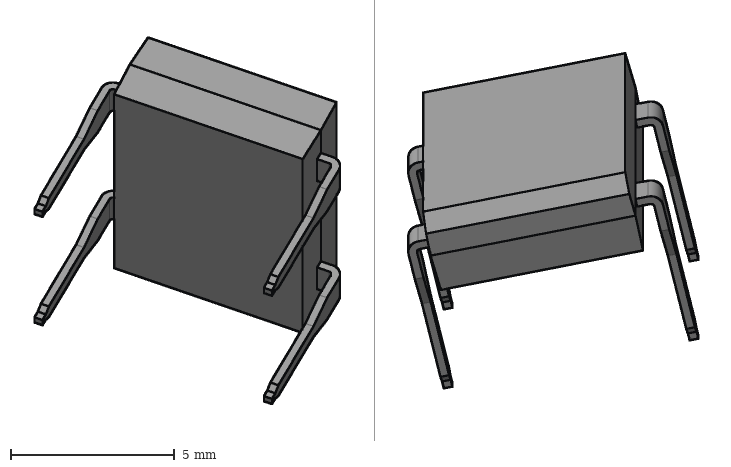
import cadquery as cq

HOUSING_WIDTH = 6.4
HOUSING_HEIGHT = 8.25
HALF_DEPTH = 1.25
DRAFT_ANGLE = 2.0
CHAMFER = 0.495

LEAD_SPAN = 7.95
LEAD_PITCH = 5.08
LEAD_THICKNESS = 0.27
BEND_OUTER_RADIUS = 0.38
BEND_INNER_RADIUS = BEND_OUTER_RADIUS - LEAD_THICKNESS

SHOULDER_WIDTH = 1.02
PIN_WIDTH = 0.5
TIP_WIDTH = 0.25

SHOULDER_END = 1.25
PIN_START = 2.27
PIN_END = 4.87
TIP_START = 5.1
LEAD_LENGTH = 5.35

TILT_ANGLE = 0.76


def make_front_half():
    """Half of the housing on the lead side, narrowing away from the parting plane."""
    return (
        cq.Workplane("XZ")
        .rect(HOUSING_WIDTH, HOUSING_HEIGHT)
        .extrude(HALF_DEPTH, taper=DRAFT_ANGLE)
    )


def make_back_half():
    """Mirrored half with a chamfer along its lower back edge."""
    return make_front_half().mirror("XZ").faces(">Y").edges("<Z").chamfer(CHAMFER)


def make_lead(front_half):
    """Lead on the +X side, centred on z = 0, its foot ending on the housing wall."""
    outer_x = LEAD_SPAN / 2
    inner_x = outer_x - LEAD_THICKNESS
    bent_strip = (
        cq.Workplane("XY")
        .lineTo(outer_x, 0)
        .lineTo(outer_x, -LEAD_LENGTH)
        .lineTo(inner_x, -LEAD_LENGTH)
        .lineTo(inner_x, -LEAD_THICKNESS)
        .lineTo(0, -LEAD_THICKNESS)
        .close()
        .extrude(SHOULDER_WIDTH / 2, both=True)
    )
    bent_strip = bent_strip.edges("|Z and >X").edges(">Y").fillet(BEND_OUTER_RADIUS)
    inner_corner = cq.selectors.NearestToPointSelector((inner_x, -LEAD_THICKNESS, 0))
    bent_strip = bent_strip.edges("|Z").edges(inner_corner).fillet(BEND_INNER_RADIUS)

    upper_edge = [
        (0, SHOULDER_WIDTH / 2),
        (-SHOULDER_END, SHOULDER_WIDTH / 2),
        (-PIN_START, PIN_WIDTH / 2),
        (-PIN_END, PIN_WIDTH / 2),
        (-TIP_START, TIP_WIDTH / 2),
        (-LEAD_LENGTH, TIP_WIDTH / 2),
    ]
    lower_edge = [(y, -z) for y, z in reversed(upper_edge)]
    outline = cq.Workplane("YZ").polyline(upper_edge + lower_edge).close().extrude(LEAD_SPAN)
    return bent_strip.intersect(outline).cut(front_half)


front_half = make_front_half()
back_half = make_back_half()

right_lead = make_lead(front_half)
leads = []
for side_lead in (right_lead, right_lead.mirror("YZ")):
    for z in (-LEAD_PITCH / 2, LEAD_PITCH / 2):
        leads.append(side_lead.translate((0, 0, z)))

bodies = [front_half, back_half, *leads]
result = cq.Compound.makeCompound(
    [body.rotate((0, 0, 0), (0, 0, 1), TILT_ANGLE).val() for body in bodies]
)